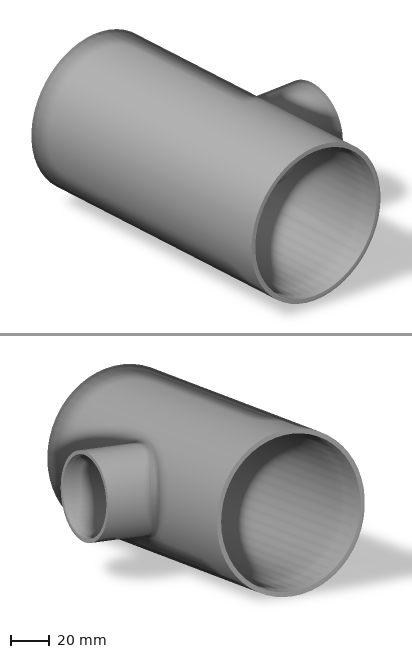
import cadquery as cq

run_length = 172.0
run_outer_diameter = 88.9
run_inner_diameter = 83.7

branch_outer_diameter = 48.3
branch_inner_diameter = 44.3
branch_reach = 73.0

junction_fillet_radius = 3.0


def run_cylinder(diameter):
    """Solid cylinder along X over the full length of the main pipe."""
    return cq.Workplane("YZ").circle(diameter / 2).extrude(run_length / 2, both=True)


def branch_cylinder(diameter):
    """Solid cylinder from the main pipe axis to the branch end face, along +Y."""
    return cq.Workplane("XZ").circle(diameter / 2).extrude(-branch_reach)


def junction_edges(body):
    """Edges of the saddle curve between the two outer cylinders.

    They lie strictly between the main pipe's ends and below the branch end face.
    """
    half_size = branch_outer_diameter / 2 + junction_fillet_radius
    run_radius = run_outer_diameter / 2
    selector = cq.selectors.BoxSelector(
        (-half_size, 0, -half_size),
        (half_size, run_radius + junction_fillet_radius, half_size),
        boundingbox=True,
    )
    return body.edges(selector)


def outer_body():
    """Main pipe and branch joined as solid bars, with the filleted junction."""
    body = run_cylinder(run_outer_diameter).union(branch_cylinder(branch_outer_diameter))
    return junction_edges(body).fillet(junction_fillet_radius)


def bores():
    """Through bore of the main pipe joined with the branch bore."""
    return run_cylinder(run_inner_diameter).union(branch_cylinder(branch_inner_diameter))


result = outer_body().cut(bores())